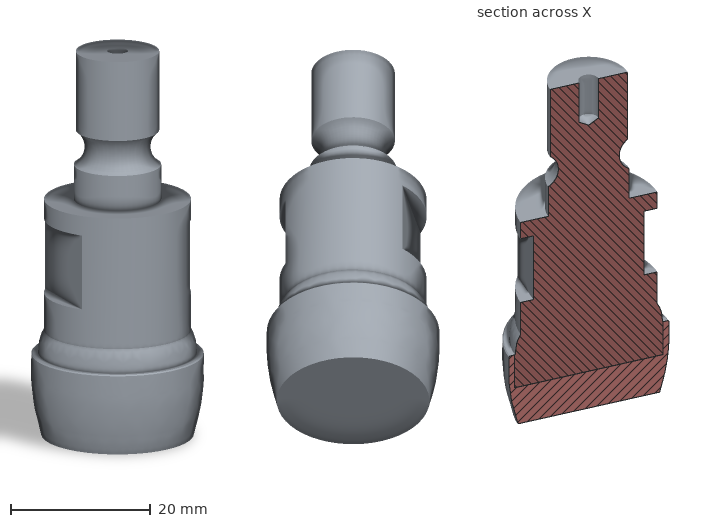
import cadquery as cq
import math

total_height = 56.95
stem_bottom = 6.5
cap_height = 12.2
shoulder_top = 15.55
barrel_top = 34.95
groove_bottom = 40.1
groove_top = 45.2

cap_top_radius = 12.35
cap_middle_radius = 12.2
cap_base_radius = 10.95
shoulder_radius = 11.4
shoulder_middle_radius = 11.2
barrel_radius = 10.55
collar_radius = 6.25
groove_radius = 4.7
shank_radius = 6.0

cap_edge_chamfer = 0.15

flat_distance = 8.55
flat_bottom = 21.05
flat_top = 32.05

center_hole_radius = 1.5
center_hole_depth = 6.85
drill_point_angle = 118.0


def make_cap():
    """Barrel-shaped cap: one arc forms the side, narrowing toward the base.

    A round recess in its top receives the lower end of the stem.
    """
    side_top = cap_height - cap_edge_chamfer
    return (
        cq.Workplane("XZ")
        .lineTo(cap_base_radius, 0)
        .threePointArc((cap_middle_radius, side_top / 2), (cap_top_radius, side_top))
        .lineTo(cap_top_radius - cap_edge_chamfer, cap_height)
        .lineTo(shoulder_radius, cap_height)
        .lineTo(shoulder_radius, stem_bottom)
        .lineTo(0, stem_bottom)
        .close()
        .revolve(360, (0, 0), (0, 1))
    )


def turned_stem():
    """Stem with a cylindrical foot, rounded shoulder, barrel, collar, concave groove and shank."""
    shoulder_middle = (cap_height + shoulder_top) / 2
    groove_middle = (groove_bottom + groove_top) / 2
    return (
        cq.Workplane("XZ")
        .moveTo(0, stem_bottom)
        .lineTo(shoulder_radius, stem_bottom)
        .lineTo(shoulder_radius, cap_height)
        .threePointArc((shoulder_middle_radius, shoulder_middle), (barrel_radius, shoulder_top))
        .lineTo(barrel_radius, barrel_top)
        .lineTo(collar_radius, barrel_top)
        .lineTo(collar_radius, groove_bottom)
        .threePointArc((groove_radius, groove_middle), (shank_radius, groove_top))
        .lineTo(shank_radius, total_height)
        .lineTo(0, total_height)
        .close()
        .revolve(360, (0, 0), (0, 1))
    )


def flat_cutter(side):
    """Block outside the wrench flat on the given side of Y (+1 or -1)."""
    depth = barrel_radius - flat_distance
    return (
        cq.Workplane("XY", origin=(0, side * (flat_distance + depth / 2), flat_bottom))
        .box(2 * barrel_radius, depth, flat_top - flat_bottom, centered=(True, True, False))
    )


def center_hole():
    """Straight drilled hole with a conical bottom, open at the end of the shank."""
    cone_height = center_hole_radius / math.tan(math.radians(drill_point_angle / 2))
    hole_bottom = total_height - center_hole_depth
    return (
        cq.Workplane("XZ")
        .moveTo(0, total_height)
        .lineTo(center_hole_radius, total_height)
        .lineTo(center_hole_radius, hole_bottom)
        .lineTo(0, hole_bottom - cone_height)
        .close()
        .revolve(360, (0, 0), (0, 1))
    )


def make_stem():
    """Finished stem with its wrench flats and center hole."""
    stem = turned_stem()
    for side in (-1, 1):
        stem = stem.cut(flat_cutter(side))
    return stem.cut(center_hole())


cap = make_cap()
stem = make_stem()

result = cq.Compound.makeCompound([cap.val(), stem.val()])